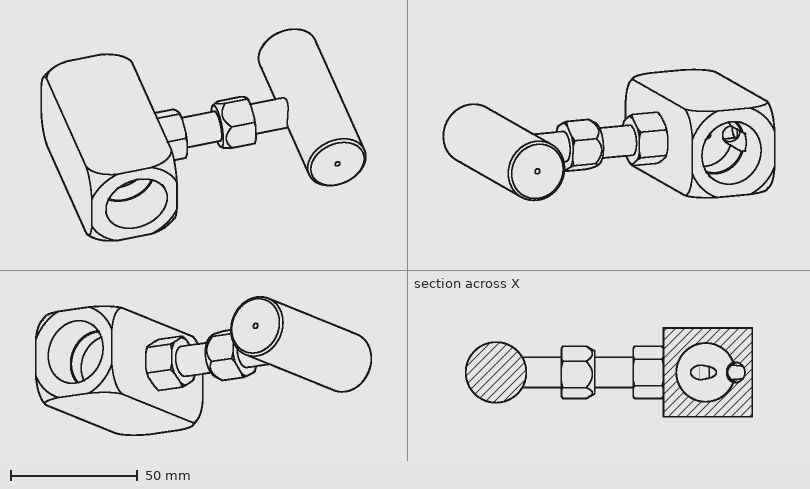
import cadquery as cq
import math


OVERALL_LENGTH = 113.0

BLOCK_LENGTH = 70.0
BLOCK_SIDE = 35.0
BLOCK_TURNED_RADIUS = 24.9
BLOCK_END_RADIUS = 18.9
BLOCK_END_ROUNDING = 10.5

PORT_OFFSET = 0.9
PORT_MOUTH_DIAMETER = 25.2
PORT_TAPER_END_DIAMETER = 24.0
PORT_TAPER_LENGTH = 16.0
PORT_INNER_DIAMETER = 23.0
PORT_TIP_ANGLE = 118.0
INLET_PORT_TIP_X = -0.5
OUTLET_PORT_TIP_X = 4.5

NEEDLE_DIAMETER = 8.0
NEEDLE_SHOULDER = 2.5
NEEDLE_TIP = -1.4
NEEDLE_TIP_DIAMETER = 5.6
SEAT_DIAMETER = 6.0
SEAT_BOTTOM = -15.8
INLET_DIAMETER = 8.0
INLET_ANGLE = 10.0
INLET_X = -4.7
INLET_Y = -12.4
INLET_BACK_LENGTH = 15.8
INLET_FORWARD_LENGTH = 3.4

STEM_DIAMETER = 12.0
NUT_ACROSS_FLATS = 18.0
NUT_CHAMFER_ANGLE = 30.0
NUT_SMALL_CHAMFER = 0.6
LOWER_NUT_LENGTH = 12.0
UPPER_NUT_START = 62.0
UPPER_NUT_LENGTH = 13.2
UPPER_NUT_TURN = 5.0
UPPER_NUT_LARGE_CHAMFER = 3.4

HANDLE_DIAMETER = 24.0
HANDLE_LENGTH = BLOCK_LENGTH
HANDLE_CHAMFER = 1.0
CENTRE_MARK_DIAMETER = 2.0

PORT_Y = BLOCK_SIDE / 2 + PORT_OFFSET
HANDLE_Y = OVERALL_LENGTH - HANDLE_DIAMETER / 2
X_AXIS = cq.Vector(1, 0, 0)
Y_AXIS = cq.Vector(0, 1, 0)


def rod_along_y(diameter, start, end):
    """Round bar on the stem axis between two Y positions."""
    return cq.Workplane(cq.Solid.makeCylinder(diameter / 2, end - start, cq.Vector(0, start, 0), Y_AXIS))


def make_block():
    """Square bar whose corners are turned to a rounded profile at each end."""
    half_length = BLOCK_LENGTH / 2
    blank = cq.Workplane("XY").box(BLOCK_LENGTH, BLOCK_SIDE, BLOCK_SIDE)
    arc_centre_radius = BLOCK_TURNED_RADIUS - BLOCK_END_ROUNDING
    run = math.sqrt(BLOCK_END_ROUNDING**2 - (BLOCK_END_RADIUS - arc_centre_radius) ** 2)
    envelope = (
        cq.Workplane("XY")
        .moveTo(-half_length, 0)
        .lineTo(-half_length, BLOCK_END_RADIUS)
        .radiusArc((-half_length + run, BLOCK_TURNED_RADIUS), BLOCK_END_ROUNDING)
        .lineTo(half_length - run, BLOCK_TURNED_RADIUS)
        .radiusArc((half_length, BLOCK_END_RADIUS), BLOCK_END_ROUNDING)
        .lineTo(half_length, 0)
        .close()
        .revolve(360, (0, 0, 0), (1, 0, 0))
    )
    return blank.intersect(envelope).translate((0, BLOCK_SIDE / 2, 0))


def make_port(tip_x):
    """Port opening at -X: a taper, then a step to a straight bore with a drill-point bottom."""
    mouth_x = -BLOCK_LENGTH / 2
    taper_end_x = mouth_x + PORT_TAPER_LENGTH
    tip_depth = PORT_INNER_DIAMETER / 2 / math.tan(math.radians(PORT_TIP_ANGLE / 2))
    return (
        cq.Workplane("XY")
        .moveTo(mouth_x, 0)
        .lineTo(mouth_x, PORT_MOUTH_DIAMETER / 2)
        .lineTo(taper_end_x, PORT_TAPER_END_DIAMETER / 2)
        .lineTo(taper_end_x, PORT_INNER_DIAMETER / 2)
        .lineTo(tip_x - tip_depth, PORT_INNER_DIAMETER / 2)
        .lineTo(tip_x, 0)
        .close()
        .revolve(360, (0, 0, 0), (1, 0, 0))
        .translate((0, PORT_Y, 0))
    )


def make_inlet():
    """Slanted hole from the bottom of the -X port to the seat bore."""
    slant = math.radians(INLET_ANGLE)
    direction = cq.Vector(math.cos(slant), -math.sin(slant), 0)
    start = cq.Vector(INLET_X, PORT_Y + INLET_Y, 0) - direction * INLET_BACK_LENGTH
    length = INLET_BACK_LENGTH + INLET_FORWARD_LENGTH
    return cq.Workplane(cq.Solid.makeCylinder(INLET_DIAMETER / 2, length, start, direction))


def make_needle():
    """Needle crossing the ports, tapered towards the seat."""
    return (
        cq.Workplane("XY")
        .moveTo(0, PORT_Y + NEEDLE_TIP)
        .lineTo(NEEDLE_TIP_DIAMETER / 2, PORT_Y + NEEDLE_TIP)
        .lineTo(NEEDLE_DIAMETER / 2, PORT_Y + NEEDLE_SHOULDER)
        .lineTo(NEEDLE_DIAMETER / 2, BLOCK_SIDE)
        .lineTo(0, BLOCK_SIDE)
        .close()
        .revolve(360, (0, 0, 0), (0, 1, 0))
    )


def make_nut(start, length, start_chamfer, turn):
    """Hex nut on the stem axis; start_chamfer is its axial length at the corners nearest the block."""
    corner_radius = NUT_ACROSS_FLATS / 2 / math.cos(math.pi / 6)
    slope = math.tan(math.radians(NUT_CHAMFER_ANGLE))
    end = start + length
    end_drop = NUT_SMALL_CHAMFER / slope
    start_drop = start_chamfer * slope if start_chamfer > NUT_SMALL_CHAMFER else end_drop
    hexagon = (
        cq.Workplane("XZ")
        .polygon(6, 2 * corner_radius)
        .extrude(-length)
        .rotate((0, 0, 0), (0, 1, 0), 90 - turn)
        .translate((0, start, 0))
    )
    envelope = (
        cq.Workplane("XY")
        .moveTo(0, start)
        .lineTo(corner_radius - start_drop, start)
        .lineTo(corner_radius, start + start_chamfer)
        .lineTo(corner_radius, end - NUT_SMALL_CHAMFER)
        .lineTo(corner_radius - end_drop, end)
        .lineTo(0, end)
        .close()
        .revolve(360, (0, 0, 0), (0, 1, 0))
    )
    return hexagon.intersect(envelope)


def make_handle():
    """Chamfered round bar along X with a conical centre mark in each end."""
    half_length = HANDLE_LENGTH / 2
    bar = (
        cq.Workplane("YZ")
        .circle(HANDLE_DIAMETER / 2)
        .extrude(HANDLE_LENGTH)
        .translate((-half_length, 0, 0))
        .edges()
        .chamfer(HANDLE_CHAMFER)
    )
    mark_radius = CENTRE_MARK_DIAMETER / 2
    for side in (-1, 1):
        face_centre = cq.Vector(side * half_length, 0, 0)
        mark = cq.Solid.makeCone(mark_radius, 0, mark_radius, face_centre, X_AXIS * -side)
        bar = bar.cut(cq.Workplane(mark))
    return bar.translate((0, HANDLE_Y, 0))


inlet_port = make_port(INLET_PORT_TIP_X)
outlet_port = make_port(-OUTLET_PORT_TIP_X).mirror("YZ")
body = make_block().cut(inlet_port).cut(outlet_port)
body = body.cut(rod_along_y(SEAT_DIAMETER, PORT_Y + SEAT_BOTTOM, PORT_Y)).cut(make_inlet())
body = body.union(make_needle())

lower_nut = make_nut(BLOCK_SIDE, LOWER_NUT_LENGTH, NUT_SMALL_CHAMFER, 0)
upper_nut = make_nut(UPPER_NUT_START, UPPER_NUT_LENGTH, UPPER_NUT_LARGE_CHAMFER, UPPER_NUT_TURN)
stem = rod_along_y(STEM_DIAMETER, BLOCK_SIDE, HANDLE_Y)

result = body.union(stem).union(lower_nut).union(upper_nut).union(make_handle())